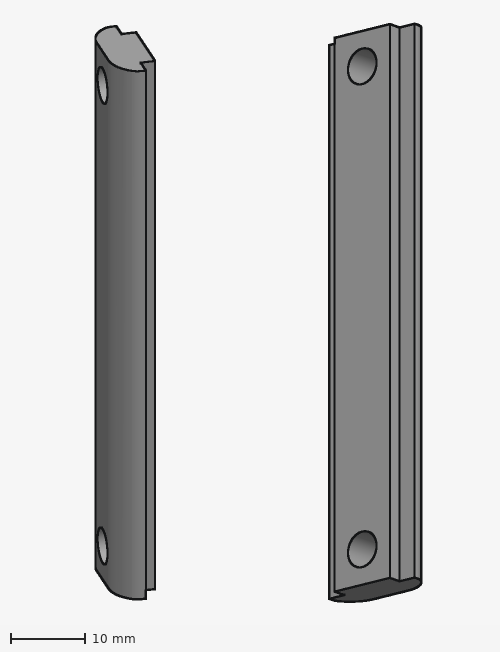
import cadquery as cq
import math

length = 78.0
width = 15.0
thickness = 6.0

tongue_width = 9.7
tongue_height = 2.0
flat_width = 6.0
crown_radius = 5.0
edge_radius = 2.0

hole_diameter = 5.0
hole_end_distance = 5.0


def bar_profile():
    """Stepped back, straight sides, and a front rounded by two tangent arcs per side."""
    half_width = width / 2
    half_tongue = tongue_width / 2
    half_flat = flat_width / 2
    back = thickness / 2
    front = -back
    shoulder = back - tongue_height

    crown_x = half_flat
    crown_y = front + crown_radius
    edge_x = half_width - edge_radius
    center_gap = crown_radius - edge_radius
    edge_y = crown_y - math.sqrt(center_gap**2 - (edge_x - crown_x) ** 2)
    join_angle = math.atan2(edge_y - crown_y, edge_x - crown_x)

    def crown_point(angle):
        return (crown_x + crown_radius * math.cos(angle), crown_y + crown_radius * math.sin(angle))

    def edge_point(angle):
        return (edge_x + edge_radius * math.cos(angle), edge_y + edge_radius * math.sin(angle))

    def mirrored(point):
        return (-point[0], point[1])

    crown_middle = crown_point((join_angle - math.pi / 2) / 2)
    edge_middle = edge_point(join_angle / 2)
    join = crown_point(join_angle)

    return (
        cq.Workplane("XY")
        .moveTo(-half_flat, front)
        .lineTo(half_flat, front)
        .threePointArc(crown_middle, join)
        .threePointArc(edge_middle, (half_width, edge_y))
        .lineTo(half_width, shoulder)
        .lineTo(half_tongue, shoulder)
        .lineTo(half_tongue, back)
        .lineTo(-half_tongue, back)
        .lineTo(-half_tongue, shoulder)
        .lineTo(-half_width, shoulder)
        .lineTo(-half_width, edge_y)
        .threePointArc(mirrored(edge_middle), mirrored(join))
        .threePointArc(mirrored(crown_middle), (-half_flat, front))
        .close()
    )


def end_holes():
    """One hole near each end, running right through along Y."""
    return (
        cq.Workplane("XZ", origin=(0, thickness / 2, 0))
        .pushPoints([(0, hole_end_distance), (0, length - hole_end_distance)])
        .circle(hole_diameter / 2)
        .extrude(thickness)
    )


result = bar_profile().extrude(length).cut(end_holes())